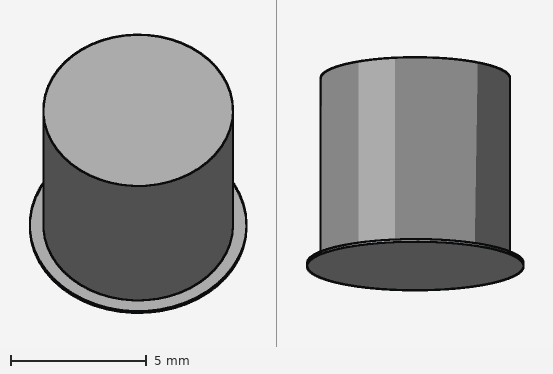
import cadquery as cq

flange_diameter = 8.0
flange_thickness = 0.1
body_diameter = 7.0
body_height = body_diameter


def make_disc(diameter, height, base_z):
    """Solid upright cylinder centred on the Z axis, standing at base_z."""
    return cq.Workplane("XY").workplane(offset=base_z).circle(diameter / 2).extrude(height)


flange = make_disc(flange_diameter, flange_thickness, 0)

body = make_disc(body_diameter, body_height, flange_thickness)

result = cq.Compound.makeCompound([flange.val(), body.val()])